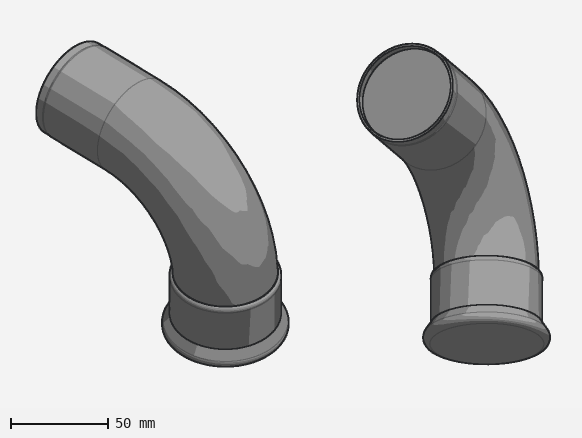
import cadquery as cq
import math

length = 140.4
height = 127.0

pipe_radius = 54.0 / 2
straight_length = 43.0
spigot_tip_radius = 53.6 / 2
spigot_tip_length = 4.4
spigot_taper_length = 0.8
recess_radius = 51.0 / 2
recess_depth = 4.4

collar_radius = 57.5 / 2
collar_bottom = 10.4
collar_shoulder = 35.2
collar_top = 38.0
collar_top_radius = 54.5 / 2
bead_radius = 65.4 / 2
bead_round = 3.4

pipe_axis_z = height - pipe_radius
socket_axis_x = length - bead_radius
bend_radius = socket_axis_x - straight_length


def make_spigot():
    """Straight pipe with a slightly reduced tip and a shallow recess in its end."""
    taper_end = spigot_tip_length + spigot_taper_length
    profile = [
        (0, 0),
        (0, spigot_tip_radius),
        (spigot_tip_length, spigot_tip_radius),
        (taper_end, pipe_radius),
        (straight_length, pipe_radius),
        (straight_length, 0),
    ]
    spigot = cq.Workplane("XY").polyline(profile).close().revolve(360, (0, 0), (1, 0))
    recess = cq.Workplane("YZ").circle(recess_radius).extrude(recess_depth)
    return spigot.cut(recess).translate((0, 0, pipe_axis_z))


def make_bend():
    """Quarter-torus elbow from the spigot down to the socket."""
    return (
        cq.Workplane("YZ", origin=(straight_length, 0, pipe_axis_z))
        .circle(pipe_radius)
        .revolve(90, (-1.4, -bend_radius), (1.4, -bend_radius))
    )


def make_socket():
    """Collar with a rounded top shoulder and a flared, rounded bead at its foot."""
    bead_center_r = bead_radius - bead_round
    bead_center_z = bead_round
    offset_r = collar_radius - bead_center_r
    offset_z = collar_bottom - bead_center_z
    tangent_angle = math.atan2(offset_z, offset_r) - math.acos(
        bead_round / math.hypot(offset_r, offset_z)
    )
    tangent_point = (
        bead_center_r + bead_round * math.cos(tangent_angle),
        bead_center_z + bead_round * math.sin(tangent_angle),
    )
    shoulder_width = collar_radius - collar_top_radius
    shoulder_height = collar_top - collar_shoulder
    shoulder_middle = (
        collar_top_radius + shoulder_width * math.sqrt(0.5),
        collar_shoulder + shoulder_height * math.sqrt(0.5),
    )
    return (
        cq.Workplane("XZ")
        .lineTo(bead_center_r, 0)
        .threePointArc((bead_radius, bead_center_z), tangent_point)
        .lineTo(collar_radius, collar_bottom)
        .lineTo(collar_radius, collar_shoulder)
        .threePointArc(shoulder_middle, (collar_top_radius, collar_top))
        .lineTo(0, collar_top)
        .close()
        .revolve(360, (0, 0), (0, 1))
        .translate((socket_axis_x, 0, 0))
    )


result = make_spigot().union(make_bend()).union(make_socket())